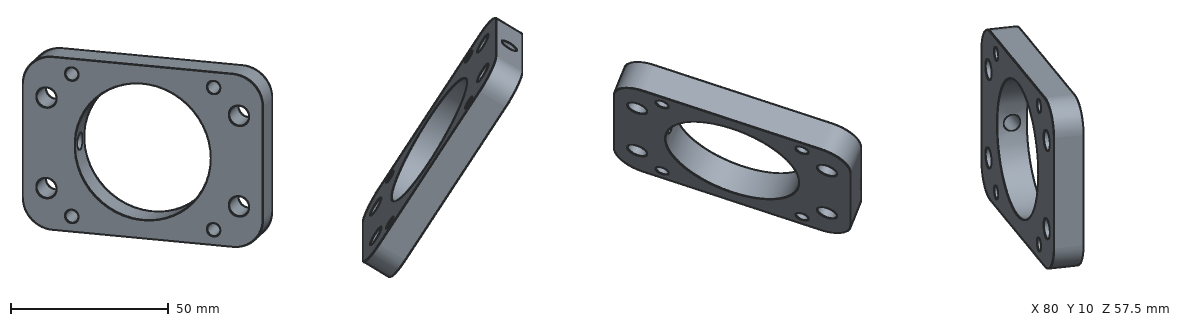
import cadquery as cq

LENGTH = 80.0
THICKNESS = 10.0
HEIGHT = 57.5
CORNER_RADIUS = 10.0

EDGE_BREAK = 0.2

BORE_DIAMETER = 45.0

MOUNT_DIAMETER = 6.5
MOUNT_SPACING_X = 64.0
MOUNT_SPACING_Z = 30.0

SCREW_DIAMETER = 4.2
SCREW_SPACING = 47.14

SIDE_HOLE_DIAMETER = 5.5
SIDE_HOLE_BEVEL = 0.15


def make_plate():
    """Rounded rectangle with bevelled edges around both large faces."""
    return (
        cq.Workplane("XZ")
        .rect(LENGTH, HEIGHT)
        .extrude(THICKNESS / 2, both=True)
        .edges("|Y")
        .fillet(CORNER_RADIUS)
        .faces("<Y or >Y")
        .edges()
        .chamfer(EDGE_BREAK)
    )


def through_hole(x, z, diameter):
    """Cutter along Y for a through hole with bevelled mouths at both faces."""
    radius = diameter / 2
    half_thickness = THICKNESS / 2
    profile = [
        (0, -half_thickness),
        (radius + EDGE_BREAK, -half_thickness),
        (radius, -half_thickness + EDGE_BREAK),
        (radius, half_thickness - EDGE_BREAK),
        (radius + EDGE_BREAK, half_thickness),
        (0, half_thickness),
    ]
    cutter = cq.Workplane("XY").polyline(profile).close().revolve(360, (0, 0), (0, 1))
    return cutter.translate((x, 0, z))


def side_hole():
    """Cutter along X from the middle of the -X end to the centre of the bore."""
    radius = SIDE_HOLE_DIAMETER / 2
    end_x = -LENGTH / 2
    profile = [
        (end_x, 0),
        (end_x, radius + SIDE_HOLE_BEVEL),
        (end_x + SIDE_HOLE_BEVEL, radius),
        (0, radius),
        (0, 0),
    ]
    return cq.Workplane("XY").polyline(profile).close().revolve(360, (0, 0), (1, 0))


result = make_plate().cut(through_hole(0, 0, BORE_DIAMETER))

for side_x in (-1, 1):
    for side_z in (-1, 1):
        mount_x = side_x * MOUNT_SPACING_X / 2
        mount_z = side_z * MOUNT_SPACING_Z / 2
        result = result.cut(through_hole(mount_x, mount_z, MOUNT_DIAMETER))

        screw_x = side_x * SCREW_SPACING / 2
        screw_z = side_z * SCREW_SPACING / 2
        result = result.cut(through_hole(screw_x, screw_z, SCREW_DIAMETER))

result = result.cut(side_hole())